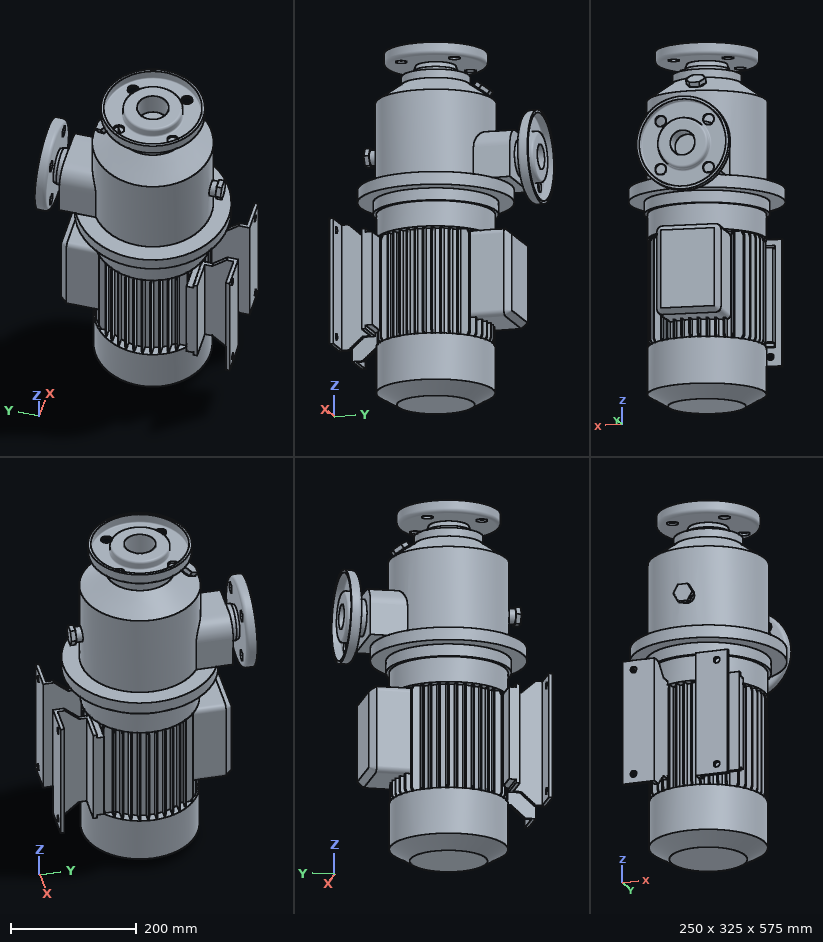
import cadquery as cq
import math

TOTAL_HEIGHT = 575.0
BASE_CONE_TOP = 19.0
FIN_BOTTOM = 95.0
FIN_TOP = 270.0
RING_BOTTOM = 311.5
FLANGE_BOTTOM = 331.0
JOINT = 352.0
SHOULDER = 494.0
COLLAR_BOTTOM = 523.0
COLLAR_TOP = 537.0

MOTOR_RADIUS = 95.0
BASE_END_RADIUS = 62.0
RING_RADIUS = 100.0
FLANGE_DIAMETER = 250.0

ROOT_RADIUS = 79.5
FIN_TIP_RADIUS = 94.0
FIN_THICKNESS = 2.5
FIN_PAIRS = 5
FIN_STEP_ANGLE = 8.5
FIN_END_TAPER = 2.5
FIN_END_LENGTH = 7.0

BOX_HALF_WIDTH = 52.5
BOX_END_Y = 140.0
BOX_BOTTOM = 126.0
BOX_TOP = 269.5
BOX_CORNER_RADIUS = 9.0
BOX_CHAMFER_DEPTH = 11.0
BOX_CHAMFER_INSET = 8.5

FOOT_MID_Z = 192.5
FOOT_HEIGHT = 206.0
FOOT_INNER_X = 35.0
FOOT_OUTER_X = 89.0
FOOT_FACE_Y = -150.0
FOOT_SHEET = 6.5
FOOT_FLARE_Y = -132.0
SEAT_HEIGHT = 164.5
SEAT_FACE_Y = -96.5
SEAT_FLARE_Y = -108.5
PAD_BACK_Y = -79.0
PAD_HEIGHT = 153.0
FOOT_HOLE_DIAMETER = 10.5
FOOT_HOLE_X = 71.0
FOOT_HOLE_SPACING = 175.0

CASING_RADIUS = 96.5
COLLAR_RADIUS = 55.0

OUTLET_MID_Z = 394.5
OUTLET_END_Y = 175.0
OUTLET_BLOCK_Y = 140.0
OUTLET_BLOCK_TOP = 434.5
OUTLET_BLOCK_RADIUS = 30.5

PLUG_HEX_FLATS = 28.0
PLUG_HEAD_THICKNESS = 8.5
PLUG_NECK_DIAMETER = 25.5
DRAIN_PLUG_Z = 412.0
DRAIN_NECK_LENGTH = 10.5
VENT_NECK_LENGTH = 1.0

INLET_FLANGE_THICKNESS = 20.0
OUTLET_FLANGE_THICKNESS = 18.0
PIPE_FLANGE_RIM = 4.5
PIPE_FLANGE_WEB = 4.0
PIPE_FLANGE_EDGE_RADIUS = 6.5
PIPE_FLANGE_FLOOR_RADIUS = 2.5
FACE_FOOT_FLARE = 3.0
FACE_EDGE_RADIUS = 4.5
BOLT_HOLE_DIAMETER = 18.0
BOLT_COUNT = 4


def cylinder(radius, bottom, top):
    return cq.Workplane("XY").workplane(offset=bottom).circle(radius).extrude(top - bottom)


def box(x_min, x_max, y_min, y_max, z_min, z_max):
    size = (x_max - x_min, y_max - y_min, z_max - z_min)
    return cq.Workplane("XY").box(*size, centered=False).translate((x_min, y_min, z_min))


def motor_core():
    """Turned parts of the motor, up to the joint with the pump."""
    outline = [
        (0, 0),
        (BASE_END_RADIUS, 0),
        (MOTOR_RADIUS, BASE_CONE_TOP),
        (MOTOR_RADIUS, FIN_BOTTOM),
        (ROOT_RADIUS, FIN_BOTTOM),
        (ROOT_RADIUS, FIN_TOP),
        (MOTOR_RADIUS, FIN_TOP),
        (MOTOR_RADIUS, RING_BOTTOM),
        (RING_RADIUS, RING_BOTTOM),
        (RING_RADIUS, FLANGE_BOTTOM),
        (FLANGE_DIAMETER / 2, FLANGE_BOTTOM),
        (FLANGE_DIAMETER / 2, JOINT),
        (0, JOINT),
    ]
    return cq.Workplane("XZ").polyline(outline).close().revolve(360, (0, 0), (0, 1))


def cooling_fins():
    """Thin fins parallel to the X and Y axes, trimmed to a round envelope with tapered ends."""
    end_radius = FIN_TIP_RADIUS - FIN_END_TAPER
    envelope = (
        cq.Workplane("XZ")
        .moveTo(0, FIN_BOTTOM)
        .lineTo(end_radius, FIN_BOTTOM)
        .lineTo(FIN_TIP_RADIUS, FIN_BOTTOM + FIN_END_LENGTH)
        .lineTo(FIN_TIP_RADIUS, FIN_TOP - FIN_END_LENGTH)
        .lineTo(end_radius, FIN_TOP)
        .lineTo(0, FIN_TOP)
        .close()
        .revolve(360, (0, 0), (0, 1))
    )
    plates = cq.Workplane("XY")
    for index in range(FIN_PAIRS):
        offset = FIN_TIP_RADIUS * math.sin(math.radians((index + 0.5) * FIN_STEP_ANGLE))
        for place in (-offset, offset):
            near = place - FIN_THICKNESS / 2
            far = place + FIN_THICKNESS / 2
            reach = FIN_TIP_RADIUS
            plates = plates.union(box(-reach, reach, near, far, FIN_BOTTOM, FIN_TOP))
            plates = plates.union(box(near, far, -reach, reach, FIN_BOTTOM, FIN_TOP))
    return plates.intersect(envelope)


def terminal_box():
    return (
        box(-BOX_HALF_WIDTH, BOX_HALF_WIDTH, 0, BOX_END_Y, BOX_BOTTOM, BOX_TOP)
        .edges("|Y").fillet(BOX_CORNER_RADIUS)
        .faces(">Y").chamfer(BOX_CHAMFER_INSET, BOX_CHAMFER_DEPTH)
    )


def foot():
    """Sheet bracket on the +X side, with the pad that carries it."""
    z_foot = (FOOT_MID_Z - FOOT_HEIGHT / 2, FOOT_MID_Z + FOOT_HEIGHT / 2)
    z_seat = (FOOT_MID_Z - SEAT_HEIGHT / 2, FOOT_MID_Z + SEAT_HEIGHT / 2)
    z_pad = (FOOT_MID_Z - PAD_HEIGHT / 2, FOOT_MID_Z + PAD_HEIGHT / 2)
    seat_back_y = SEAT_FACE_Y + FOOT_SHEET

    pad = box(FOOT_INNER_X, FOOT_OUTER_X, seat_back_y, PAD_BACK_Y, *z_pad)
    seat = box(FOOT_INNER_X, FOOT_OUTER_X, SEAT_FACE_Y, seat_back_y, *z_seat)
    sole = box(FOOT_INNER_X, FOOT_OUTER_X, FOOT_FACE_Y, FOOT_FACE_Y + FOOT_SHEET, *z_foot)
    web_outline = [
        (seat_back_y, z_seat[0]),
        (SEAT_FLARE_Y, z_seat[0]),
        (FOOT_FLARE_Y, z_foot[0]),
        (FOOT_FACE_Y, z_foot[0]),
        (FOOT_FACE_Y, z_foot[1]),
        (FOOT_FLARE_Y, z_foot[1]),
        (SEAT_FLARE_Y, z_seat[1]),
        (seat_back_y, z_seat[1]),
    ]
    web = (
        cq.Workplane("YZ", origin=(FOOT_INNER_X, 0, 0))
        .polyline(web_outline).close().extrude(FOOT_SHEET)
    )
    holes = (
        cq.Workplane("XZ", origin=(FOOT_HOLE_X, FOOT_FACE_Y + FOOT_SHEET, FOOT_MID_Z))
        .rarray(6, FOOT_HOLE_SPACING, 1, 2)
        .circle(FOOT_HOLE_DIAMETER / 2).extrude(FOOT_SHEET)
    )
    return pad.union(seat).union(web).union(sole.cut(holes))


def build_motor():
    right_foot = foot()
    left_foot = right_foot.mirror("YZ")
    return (
        motor_core()
        .union(cooling_fins())
        .union(terminal_box())
        .union(right_foot)
        .union(left_foot)
    )


def pipe_flange(radius, thickness, face_radius, neck_radius, neck_top_radius, neck_length, neck_taper,
                bore_radius, bolt_circle_radius):
    """Dished flange on a hollow neck. The neck starts at Z = 0 and the flange is on top."""
    flange_bottom = neck_length
    top = flange_bottom + thickness
    floor = flange_bottom + PIPE_FLANGE_WEB

    disc = cylinder(radius, flange_bottom, top).faces("<Z").edges().fillet(PIPE_FLANGE_EDGE_RADIUS)
    dish = cylinder(radius - PIPE_FLANGE_RIM, floor, top)
    dish = dish.faces("<Z").edges().fillet(PIPE_FLANGE_FLOOR_RADIUS)
    disc = disc.cut(dish)

    face = (
        cq.Workplane("XZ")
        .moveTo(0, floor)
        .lineTo(face_radius + FACE_FOOT_FLARE, floor)
        .radiusArc((face_radius, floor + FACE_FOOT_FLARE), FACE_FOOT_FLARE)
        .lineTo(face_radius, top - FACE_EDGE_RADIUS)
        .radiusArc((face_radius - FACE_EDGE_RADIUS, top), -FACE_EDGE_RADIUS)
        .lineTo(0, top)
        .close()
        .revolve(360, (0, 0), (0, 1))
    )
    neck = (
        cq.Workplane("XZ")
        .moveTo(0, 0)
        .lineTo(neck_radius, 0)
        .lineTo(neck_radius, neck_length - neck_taper)
        .lineTo(neck_top_radius, neck_length)
        .lineTo(0, neck_length)
        .close()
        .revolve(360, (0, 0), (0, 1))
    )
    bolt_holes = (
        cq.Workplane("XY").workplane(offset=flange_bottom)
        .polarArray(bolt_circle_radius, 45, 360, BOLT_COUNT)
        .circle(BOLT_HOLE_DIAMETER / 2).extrude(thickness)
    )
    return disc.union(face).union(neck).cut(bolt_holes).cut(cylinder(bore_radius, 0, top))


def inlet_flange():
    """Flange on top of the pump."""
    return pipe_flange(
        radius=83.0,
        thickness=INLET_FLANGE_THICKNESS,
        face_radius=48.0,
        neck_radius=35.5,
        neck_top_radius=32.0,
        neck_length=TOTAL_HEIGHT - INLET_FLANGE_THICKNESS - COLLAR_TOP,
        neck_taper=8.5,
        bore_radius=25.5,
        bolt_circle_radius=62.5,
    ).translate((0, 0, COLLAR_TOP))


def outlet_flange():
    """Flange on the +Y side of the pump."""
    flange = pipe_flange(
        radius=75.5,
        thickness=OUTLET_FLANGE_THICKNESS,
        face_radius=41.5,
        neck_radius=30.0,
        neck_top_radius=27.5,
        neck_length=OUTLET_END_Y - OUTLET_FLANGE_THICKNESS - OUTLET_BLOCK_Y,
        neck_taper=6.0,
        bore_radius=20.0,
        bolt_circle_radius=55.0,
    )
    return flange.rotate((0, 0, 0), (1, 0, 0), -90).translate((0, OUTLET_BLOCK_Y, OUTLET_MID_Z))


def casing():
    outline = [
        (0, JOINT),
        (CASING_RADIUS, JOINT),
        (CASING_RADIUS, SHOULDER),
        (COLLAR_RADIUS, COLLAR_BOTTOM),
        (COLLAR_RADIUS, COLLAR_TOP),
        (0, COLLAR_TOP),
    ]
    return cq.Workplane("XZ").polyline(outline).close().revolve(360, (0, 0), (0, 1))


def outlet_block():
    half_width = COLLAR_RADIUS
    block = box(-half_width, half_width, 0, OUTLET_BLOCK_Y, JOINT, OUTLET_BLOCK_TOP)
    return block.edges("|Y and >Z").fillet(OUTLET_BLOCK_RADIUS)


def hex_plug(seat, direction, neck_length):
    """Hexagon plug standing on the point `seat`, with two corners of its head along X."""
    plane = cq.Plane(origin=seat, xDir=(1, 0, 0), normal=direction)
    neck = (
        cq.Workplane(plane).workplane(offset=-PLUG_NECK_DIAMETER / 2)
        .circle(PLUG_NECK_DIAMETER / 2).extrude(neck_length + PLUG_NECK_DIAMETER / 2)
    )
    corner_diameter = PLUG_HEX_FLATS / math.cos(math.radians(30))
    head = (
        cq.Workplane(plane).workplane(offset=neck_length)
        .polygon(6, corner_diameter).extrude(PLUG_HEAD_THICKNESS)
    )
    return neck.union(head)


def drain_plug():
    return hex_plug((0, -CASING_RADIUS, DRAIN_PLUG_Z), (0, -1, 0), DRAIN_NECK_LENGTH)


def vent_plug():
    """Plug square to the cone, halfway up it on the +Y side."""
    cone_rise = COLLAR_BOTTOM - SHOULDER
    cone_run = CASING_RADIUS - COLLAR_RADIUS
    seat = (0, (CASING_RADIUS + COLLAR_RADIUS) / 2, (SHOULDER + COLLAR_BOTTOM) / 2)
    return hex_plug(seat, (0, cone_rise, cone_run), VENT_NECK_LENGTH)


def build_pump():
    return (
        casing()
        .union(outlet_block())
        .union(inlet_flange())
        .union(outlet_flange())
        .union(drain_plug())
        .union(vent_plug())
    )


motor = build_motor()
pump = build_pump()

result = cq.Compound.makeCompound([motor.val(), pump.val()])